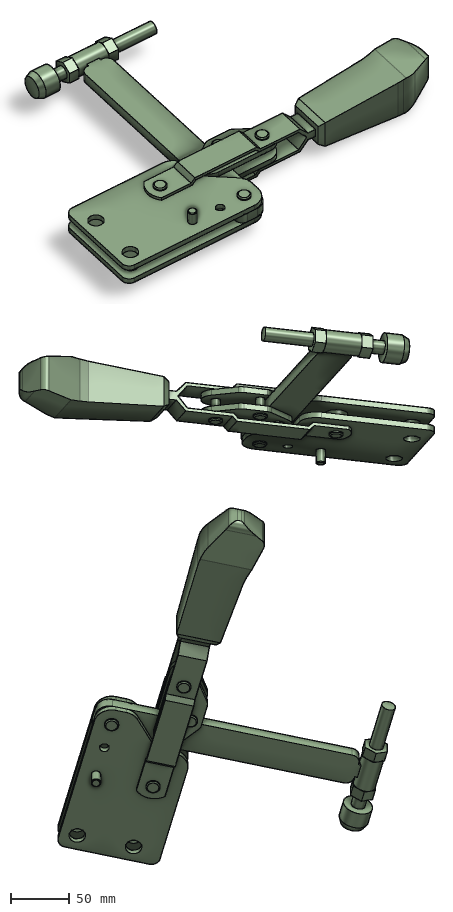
import cadquery as cq
import math


ARM_THICKNESS = 10.0
PLATE_THICKNESS = 5.0
STRAP_THICKNESS = 3.0
ARM_HALF = ARM_THICKNESS / 2
PLATE_OUTER = ARM_HALF + PLATE_THICKNESS
STRAP_OUTER = PLATE_OUTER + STRAP_THICKNESS

THROUGH = 110.5

BASE_WIDTH = 89.8
BASE_HEIGHT = 150.0
BASE_TOP_RADIUS = 15.0
BASE_BOTTOM_RADIUS = 7.7
SHOULDER_Y = 118.5
SLOPE_TOP_X = 58.5
SLOPE_BOTTOM_X = 31.3

STRAP_X = 25.0
RIGHT_X = BASE_WIDTH - BASE_TOP_RADIUS
ARM_Y = BASE_HEIGHT - BASE_TOP_RADIUS
ARM_PIVOT = (RIGHT_X, ARM_Y)
ARM_LINK_PIN = (STRAP_X, ARM_Y)
HANDLE_PIVOT = (STRAP_X, 82.5)
HANDLE_LINK_PIN = (STRAP_X, 190.5)
LINK_RIVET = (10.3, 155.3)
STOP_HOLE = (RIGHT_X, 80.2)
SPARE_STOP_HOLE = (RIGHT_X, 109.5)
MOUNT_HOLES = [(STRAP_X, 14.5), (RIGHT_X, 14.5)]
MOUNT_HOLE_DIAMETER = 14.0

PIN_DIAMETER = 8.0
HEAD_DIAMETER = 12.0
HEAD_HEIGHT = 2.2
HEAD_CHAMFER = 1.0
STOP_PIN_LENGTH = 45.0
STOP_PIN_CHAMFER = 0.7
COLLAR_RADIUS = 10.0

LINK_END_RADIUS = 12.5
LINK_CORNER_HEIGHT = 25.8
LINK_CORNER_RADIUS = 7.7

SPINDLE_X = -152.0
SLEEVE_BOTTOM = 119.2
SLEEVE_TOP = 151.2
ARM_WIDTH = 2 * (BASE_HEIGHT - ARM_Y)
ARM_TIP_OFFSET = 10.5
ARM_TIP_X = SPINDLE_X + ARM_TIP_OFFSET
ARM_TIP_RADIUS = 7.7
ARM_REAR_TOP_RADIUS = 12.0
ARM_REAR_BOTTOM_RADIUS = 7.7
WELD_WIDTH = 13.2
ROD_DIAMETER = 12.0
ROD_TOP = 204.5
NUT_ACROSS_FLATS = 19.5
SLEEVE_RADIUS = NUT_ACROSS_FLATS / 2
NUT_HEIGHT = 10.0
FOOT_RADIUS = 13.0
FOOT_TIP_RADIUS = 10.3
FOOT_TOP = 97.0
FOOT_CONE_TOP = 82.0
FOOT_BOTTOM = 76.5

STRAP_WIDTH = 25.5
NECK_HALF = 4.0
STRAP_END_Y = 69.5
STRAP_END_SAGITTA = 5.0
STRAP_BULGE = 4.0
NECK_BEND_Y = 230.0
FORK_BEND_Y = 221.5
NECK_BEND_SHIFT = 1.5
BULGE_TOP_Y = 179.5
BULGE_BOTTOM_Y = 106.0

GRIP_BOTTOM = 237.7
GRIP_OUTLINE = [
    (8.5, GRIP_BOTTOM), (42.0, GRIP_BOTTOM), (44.5, 243.2), (45.5, 319.8), (45.3, 333.8),
    (24.3, 371.5), (-6.3, 354.5), (2.0, 319.8), (3.0, 312.0), (6.0, 243.2),
]
GRIP_ROUNDINGS = [((45.3, 333.8), 33.0), ((24.3, 371.5), 9.5), ((-6.3, 354.5), 6.0)]
GRIP_TOP = 368.0
GRIP_PROFILE = [(GRIP_BOTTOM, 10.3), (243.2, 13.5), (328.5, 20.0), (360.0, 14.0)]
GRIP_NOSE_MIDDLE = (365.8, 11.5)
GRIP_NOSE_END = (GRIP_TOP, 8.0)


def round_corner(body, corner, radius):
    """Round the vertical edge that lies nearest to an XY corner."""
    nearest = cq.NearestToPointSelector((corner[0], corner[1], 0))
    return body.edges("|Z").edges(nearest).fillet(radius)


def cylinder(center, diameter, length):
    """Upright cylinder centred on the mid-plane."""
    return cq.Workplane("XY", origin=(*center, -length / 2)).circle(diameter / 2).extrude(length)


def headed_pin(center, seat_height):
    """Pin through the stack with a chamfered head seated at each side."""
    pin = cylinder(center, PIN_DIAMETER, 2 * seat_height)
    head = cq.Workplane("XY", origin=(*center, seat_height)).circle(HEAD_DIAMETER / 2)
    head = head.extrude(HEAD_HEIGHT).faces(">Z").chamfer(HEAD_CHAMFER)
    return pin.union(head).union(head.mirror("XY"))


def layer_pair(layer):
    """A plate above the mid-plane together with its mirror copy below."""
    return layer.union(layer.mirror("XY"))


def drill(body, centers, diameter):
    """Cut upright through holes."""
    for center in centers:
        body = body.cut(cylinder(center, diameter, THROUGH))
    return body


def make_base():
    """Two parallel flange plates held together by the arm pivot rivet."""
    outline = [
        (0, 0), (BASE_WIDTH, 0), (BASE_WIDTH, BASE_HEIGHT), (SLOPE_TOP_X, BASE_HEIGHT),
        (SLOPE_BOTTOM_X, SHOULDER_Y), (0, SHOULDER_Y),
    ]
    plate = cq.Workplane("XY", origin=(0, 0, ARM_HALF)).polyline(outline).close()
    plate = plate.extrude(PLATE_THICKNESS)
    for corner in [(BASE_WIDTH, BASE_HEIGHT), (SLOPE_TOP_X, BASE_HEIGHT), (0, SHOULDER_Y)]:
        plate = round_corner(plate, corner, BASE_TOP_RADIUS)
    for corner in [(0, 0), (BASE_WIDTH, 0)]:
        plate = round_corner(plate, corner, BASE_BOTTOM_RADIUS)
    plates = drill(layer_pair(plate), MOUNT_HOLES, MOUNT_HOLE_DIAMETER)
    plates = drill(plates, [HANDLE_PIVOT, STOP_HOLE, SPARE_STOP_HOLE], PIN_DIAMETER)
    return plates.union(headed_pin(ARM_PIVOT, PLATE_OUTER))


def make_stop_pin():
    """Loose pin that limits the opening of the arm."""
    return cylinder(STOP_HOLE, PIN_DIAMETER, STOP_PIN_LENGTH).faces("|Z").chamfer(STOP_PIN_CHAMFER)


def make_links():
    """Two link plates joined by a stop rivet and the pin through the arm."""
    middle_y = (HANDLE_LINK_PIN[1] + ARM_LINK_PIN[1]) / 2
    corner_y = middle_y + LINK_CORNER_HEIGHT / 2
    offset_x = -STRAP_X
    offset_y = corner_y - HANDLE_LINK_PIN[1]
    distance = math.hypot(offset_x, offset_y)
    tangent_angle = math.atan2(offset_y, offset_x) - math.acos(LINK_END_RADIUS / distance)
    tangent_x = STRAP_X + LINK_END_RADIUS * math.cos(tangent_angle)
    tangent_y = HANDLE_LINK_PIN[1] + LINK_END_RADIUS * math.sin(tangent_angle)
    right_x = STRAP_X + LINK_END_RADIUS
    arc_angle = (tangent_angle + 2 * math.pi) / 2
    arc_x = STRAP_X + LINK_END_RADIUS * math.cos(arc_angle)
    arc_y = HANDLE_LINK_PIN[1] + LINK_END_RADIUS * math.sin(arc_angle)

    def mirrored(y):
        return 2 * middle_y - y

    plate = (
        cq.Workplane("XY", origin=(0, 0, ARM_HALF))
        .moveTo(right_x, HANDLE_LINK_PIN[1])
        .threePointArc((arc_x, arc_y), (tangent_x, tangent_y))
        .lineTo(0, corner_y)
        .lineTo(0, mirrored(corner_y))
        .lineTo(tangent_x, mirrored(tangent_y))
        .threePointArc((arc_x, mirrored(arc_y)), (right_x, ARM_LINK_PIN[1]))
        .close()
        .extrude(PLATE_THICKNESS)
    )
    for y in (corner_y, mirrored(corner_y)):
        plate = round_corner(plate, (0, y), LINK_CORNER_RADIUS)
    plates = drill(layer_pair(plate), [HANDLE_LINK_PIN], PIN_DIAMETER)
    for center in (LINK_RIVET, ARM_LINK_PIN):
        plates = plates.union(headed_pin(center, PLATE_OUTER))
    return plates


def make_arm():
    """Flat bar with rounded corners and the spindle sleeve welded to its tip."""
    length = BASE_WIDTH - ARM_TIP_X
    bar = cq.Workplane("XY").box(length, ARM_WIDTH, ARM_THICKNESS)
    bar = bar.translate((ARM_TIP_X + length / 2, ARM_Y, 0))
    bar = bar.edges("|Z and <X").fillet(ARM_TIP_RADIUS)
    bar = round_corner(bar, (BASE_WIDTH, ARM_Y + ARM_WIDTH / 2), ARM_REAR_TOP_RADIUS)
    bar = round_corner(bar, (BASE_WIDTH, ARM_Y - ARM_WIDTH / 2), ARM_REAR_BOTTOM_RADIUS)
    bar = drill(bar, [ARM_PIVOT, ARM_LINK_PIN], PIN_DIAMETER)
    weld = cq.Workplane("XY").box(ARM_TIP_OFFSET, WELD_WIDTH, ARM_THICKNESS)
    bar = bar.union(weld.translate((SPINDLE_X + ARM_TIP_OFFSET / 2, ARM_Y, 0)))
    bar = bar.union(spindle_cylinder(SLEEVE_RADIUS, SLEEVE_BOTTOM, SLEEVE_TOP))
    return bar.cut(spindle_cylinder(ROD_DIAMETER / 2, SLEEVE_BOTTOM, SLEEVE_TOP))


def spindle_cylinder(radius, bottom, top):
    """Cylinder along Y on the spindle axis."""
    start = cq.Workplane("XZ", origin=(SPINDLE_X, bottom, 0))
    return start.circle(radius).extrude(bottom - top)


def make_nut(bottom):
    """Hexagon nut on the spindle, with corners pointing along Z."""
    across_corners = NUT_ACROSS_FLATS / math.cos(math.pi / 6)
    start = cq.Workplane("XZ", origin=(SPINDLE_X, bottom, 0))
    nut = start.polygon(6, across_corners).extrude(-NUT_HEIGHT)
    axis_start = (SPINDLE_X, 0, 0)
    axis_end = (SPINDLE_X, 1, 0)
    half_side_angle = 360 / 6 / 2
    return nut.rotate(axis_start, axis_end, half_side_angle)


def make_spindle():
    """Rod with a nut at each end of the sleeve and a conical pressure foot."""
    spindle = spindle_cylinder(ROD_DIAMETER / 2, FOOT_TOP, ROD_TOP)
    for bottom in (SLEEVE_BOTTOM - NUT_HEIGHT, SLEEVE_TOP):
        spindle = spindle.union(make_nut(bottom))
    foot = spindle_cylinder(FOOT_RADIUS, FOOT_CONE_TOP, FOOT_TOP)
    cone = (
        cq.Workplane("XZ", origin=(SPINDLE_X, FOOT_CONE_TOP, 0))
        .circle(FOOT_RADIUS)
        .workplane(offset=FOOT_CONE_TOP - FOOT_BOTTOM)
        .circle(FOOT_TIP_RADIUS)
        .loft()
    )
    return spindle.union(foot).union(cone)


def make_strap():
    """Upper half of the fork: a strip bent at 45 degrees out of the neck and over the link pins."""
    fork_z = STRAP_OUTER
    bulge_z = STRAP_OUTER + STRAP_BULGE
    outer = [
        (GRIP_BOTTOM, NECK_HALF), (NECK_BEND_Y, NECK_HALF),
        (FORK_BEND_Y, fork_z), (BULGE_TOP_Y, fork_z),
        (BULGE_TOP_Y - STRAP_BULGE, bulge_z), (BULGE_BOTTOM_Y + STRAP_BULGE, bulge_z),
        (BULGE_BOTTOM_Y, fork_z), (STRAP_END_Y, fork_z),
    ]
    bend_shift = STRAP_THICKNESS * math.tan(math.pi / 8)
    fork_inner_z = fork_z - STRAP_THICKNESS
    bulge_inner_z = bulge_z - STRAP_THICKNESS
    inner = [
        (STRAP_END_Y, fork_inner_z), (BULGE_BOTTOM_Y + bend_shift, fork_inner_z),
        (BULGE_BOTTOM_Y + STRAP_BULGE + bend_shift, bulge_inner_z),
        (BULGE_TOP_Y - STRAP_BULGE - bend_shift, bulge_inner_z),
        (BULGE_TOP_Y - bend_shift, fork_inner_z), (FORK_BEND_Y - NECK_BEND_SHIFT, fork_inner_z),
        (NECK_BEND_Y - NECK_BEND_SHIFT, 0), (GRIP_BOTTOM, 0),
    ]
    left_x = STRAP_X - STRAP_WIDTH / 2
    strip = cq.Workplane("YZ", origin=(left_x, 0, 0)).polyline(outer + inner).close()
    strip = strip.extrude(STRAP_WIDTH)
    blank = (
        cq.Workplane("XY")
        .moveTo(left_x, GRIP_BOTTOM)
        .lineTo(left_x, STRAP_END_Y + STRAP_END_SAGITTA)
        .threePointArc((STRAP_X, STRAP_END_Y), (left_x + STRAP_WIDTH, STRAP_END_Y + STRAP_END_SAGITTA))
        .lineTo(left_x + STRAP_WIDTH, GRIP_BOTTOM)
        .close()
        .extrude(THROUGH)
    )
    return strip.intersect(blank)


def make_handle():
    """Forked handle with its base pivot, its link pin and the collar between the base plates."""
    strap = make_strap()
    handle = strap.union(strap.mirror("XY"))
    for center in (HANDLE_PIVOT, HANDLE_LINK_PIN):
        handle = handle.union(headed_pin(center, STRAP_OUTER))
    return handle.union(cylinder(HANDLE_PIVOT, 2 * COLLAR_RADIUS, ARM_THICKNESS))


def make_grip():
    """Grip: its XY outline intersected with a tapered side profile."""
    body = cq.Workplane("XY").polyline(GRIP_OUTLINE).close().extrude(THROUGH / 2, both=True)
    for corner, radius in GRIP_ROUNDINGS:
        body = round_corner(body, corner, radius)
    lower = [(y, -z) for y, z in GRIP_PROFILE]
    nose_y, nose_z = GRIP_NOSE_END
    middle_y, middle_z = GRIP_NOSE_MIDDLE
    profile = (
        cq.Workplane("YZ")
        .polyline(lower[::-1] + GRIP_PROFILE)
        .threePointArc((middle_y, middle_z), (nose_y, nose_z))
        .lineTo(nose_y, -nose_z)
        .threePointArc((middle_y, -middle_z), lower[-1])
        .close()
        .extrude(THROUGH, both=True)
    )
    return body.intersect(profile)


base = make_base()
stop_pin = make_stop_pin()
links = make_links()
arm = make_arm()
spindle = make_spindle()
handle = make_handle()
grip = make_grip()

result = cq.Compound.makeCompound([
    base.val(), stop_pin.val(), links.val(), arm.val(), spindle.val(), handle.val(), grip.val(),
])